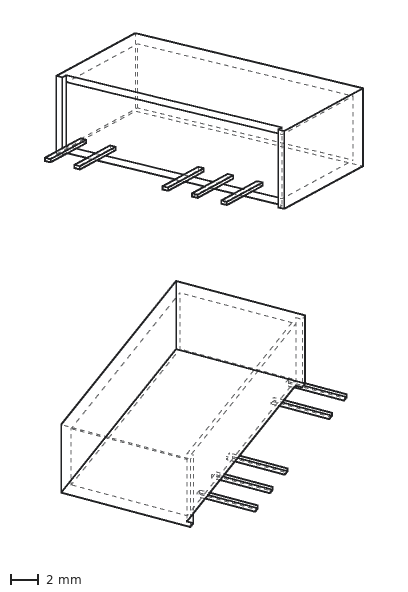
import cadquery as cq

LENGTH = 19.65
HEIGHT = 6.0
TOTAL_DEPTH = 14.3

HOUSING_DEPTH = 10.2
END_WALL_LIP = 0.51
WALL = 0.53

PIN_WIDTH = 0.5
PIN_THICKNESS = 0.25
PIN_PITCH = 2.53
FIRST_PIN_X = -7.82
PIN_HEIGHT = 1.28
PIN_SLOTS = (0, 1, 4, 5, 6)

FILL_FACE_Y = -(HOUSING_DEPTH - END_WALL_LIP)
PIN_LENGTH = TOTAL_DEPTH + FILL_FACE_Y
CAVITY_LENGTH = LENGTH - 2 * WALL
CAVITY_HEIGHT = HEIGHT - 2 * WALL
CAVITY_DEPTH = -FILL_FACE_Y - WALL
PIN_Z = PIN_HEIGHT - HEIGHT / 2


def block(length, depth, height, back_y):
    """Box centred on X and Z that runs from back_y towards -Y."""
    return (
        cq.Workplane("XY")
        .box(length, depth, height)
        .translate((0, back_y - depth / 2, 0))
    )


def make_housing():
    """Open-fronted shell whose end walls stand proud of the top and bottom walls."""
    body = block(LENGTH, HOUSING_DEPTH, HEIGHT, 0)
    front_step = block(CAVITY_LENGTH, END_WALL_LIP, HEIGHT, FILL_FACE_Y)
    cavity = block(CAVITY_LENGTH, CAVITY_DEPTH, CAVITY_HEIGHT, -WALL)
    return body.cut(front_step).cut(cavity)


def make_fill():
    """Potting that fills the cavity, flush with the top and bottom walls."""
    return block(CAVITY_LENGTH, CAVITY_DEPTH, CAVITY_HEIGHT, -WALL)


def make_pin(x):
    """Flat pin standing on the front face of the fill."""
    pin = block(PIN_WIDTH, PIN_LENGTH, PIN_THICKNESS, FILL_FACE_Y)
    return pin.translate((x, 0, PIN_Z))


housing = make_housing()
fill = make_fill()
pins = [make_pin(FIRST_PIN_X + slot * PIN_PITCH) for slot in PIN_SLOTS]

result = cq.Compound.makeCompound(
    [housing.val(), fill.val(), *[pin.val() for pin in pins]]
)